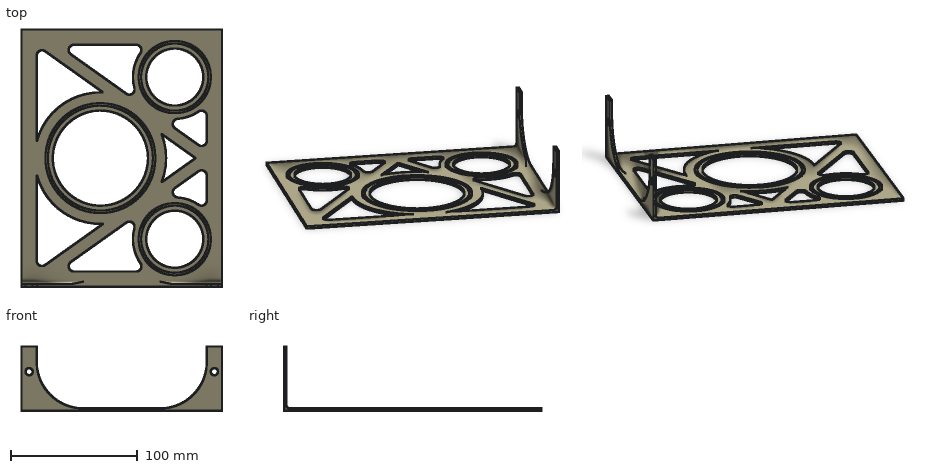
import cadquery as cq
import math

width = 158.5
length = 203.2
height = 50.8
plate_thickness = 2.0
wall_thickness = 2.0
bend_radius = 2.0
middle_y = length / 2

upright_width = 12.2
opening_radius = 36.4
screw_diameter = 5.5
screw_inset = upright_width / 2
screw_height = 30.9

large_x = 62.4
large_hole = 75.0
large_groove_inner = 83.0
large_groove_outer = 87.0
small_x = 121.1
small_offset_y = 64.0
small_hole = 45.0
small_groove_inner = 53.0
small_groove_outer = 57.0
groove_depth = 1.0

border = 12.2
large_land_radius = 52.0
small_land_radius = 33.1
strut_angle = math.radians(35.4)
strut_width = 10.0
strut_apex_x = 137.4
pocket_radius = 4.0

small_y = middle_y + small_offset_y
strut_slope = math.tan(strut_angle)
strut_rise = strut_width / math.cos(strut_angle)


def strut_lower_y(x):
    """Height in Y of the inner edge of the rear strut."""
    return middle_y + (strut_apex_x - x) * strut_slope


def strut_upper_y(x):
    """Height in Y of the outer edge of the rear strut."""
    return strut_lower_y(x) + strut_rise


def disc(x, y, radius, depth=plate_thickness, bottom=0.0):
    return cq.Workplane("XY", origin=(x, y, bottom)).circle(radius).extrude(depth)


def prism(points):
    return cq.Workplane("XY").polyline(points).close().extrude(plate_thickness)


def make_bracket():
    """L-shaped profile with a rounded inner bend, open between two uprights."""
    body = (
        cq.Workplane("YZ")
        .moveTo(0, 0)
        .lineTo(length, 0)
        .lineTo(length, plate_thickness)
        .lineTo(wall_thickness + bend_radius, plate_thickness)
        .radiusArc((wall_thickness, plate_thickness + bend_radius), bend_radius)
        .lineTo(wall_thickness, height)
        .lineTo(0, height)
        .close()
        .extrude(width)
    )
    opening_height = height - plate_thickness
    opening = (
        cq.Workplane("XY", origin=(width / 2, 0, plate_thickness))
        .box(width - 2 * upright_width, length, opening_height, centered=(True, False, False))
        .edges("|Y and <Z")
        .fillet(opening_radius)
    )
    screw_holes = (
        cq.Workplane("XZ")
        .pushPoints([(screw_inset, screw_height), (width - screw_inset, screw_height)])
        .circle(screw_diameter / 2)
        .extrude(-wall_thickness)
    )
    return body.cut(opening).cut(screw_holes)


def cut_ringed_hole(body, x, y, hole, groove_inner, groove_outer):
    """Through hole with a concentric groove in the top face."""
    groove_floor = plate_thickness - groove_depth
    groove = disc(x, y, groove_outer / 2, groove_depth, groove_floor)
    groove = groove.cut(disc(x, y, groove_inner / 2, groove_depth, groove_floor))
    return body.cut(disc(x, y, hole / 2)).cut(groove)


def make_rear_pockets():
    """Pockets behind the middle line; their mirror images lie in front of it."""
    left = border
    right = width - border
    rear = length - border
    large_land = disc(large_x, middle_y, large_land_radius)
    small_land = disc(small_x, small_y, small_land_radius)

    inner_pockets = (
        prism([(left, middle_y), (left, strut_lower_y(left)), (strut_apex_x, middle_y)])
        .edges("|Z and >Y")
        .fillet(pocket_radius)
        .cut(large_land)
    )

    land_gap = (small_y - strut_upper_y(small_x)) * math.cos(strut_angle)
    parting_x = small_x - land_gap * math.sin(strut_angle)
    parting_point = (parting_x, strut_upper_y(parting_x))
    small_center = (small_x, small_y)

    rear_start_x = strut_apex_x - (rear - middle_y - strut_rise) / strut_slope
    rear_pocket = (
        prism([parting_point, (rear_start_x, rear), (small_x, rear), small_center])
        .cut(small_land)
        .edges("|Z")
        .fillet(pocket_radius)
    )
    right_pocket = (
        prism([parting_point, (right, strut_upper_y(right)), (right, small_y), small_center])
        .cut(small_land)
        .edges("|Z")
        .fillet(pocket_radius)
    )
    return [inner_pockets, rear_pocket, right_pocket]


result = make_bracket()

for pocket in make_rear_pockets():
    result = result.cut(pocket)
    result = result.cut(pocket.mirror("XZ", (0, middle_y, 0)))

result = cut_ringed_hole(result, large_x, middle_y, large_hole, large_groove_inner, large_groove_outer)
for side in (-1, 1):
    result = cut_ringed_hole(
        result, small_x, middle_y + side * small_offset_y,
        small_hole, small_groove_inner, small_groove_outer,
    )